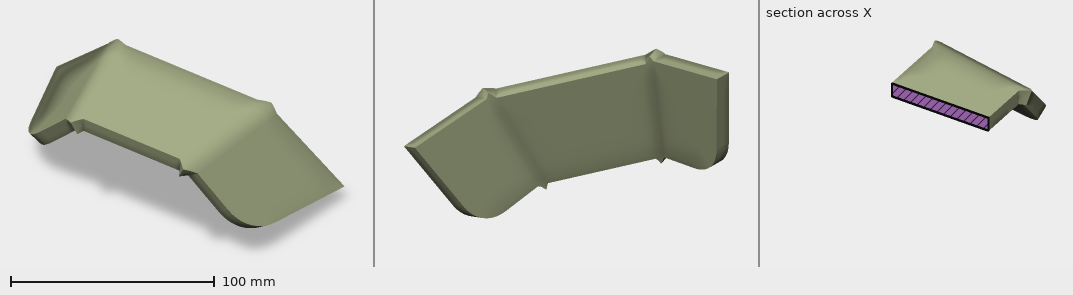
import cadquery as cq
import math

thickness = 8.0
plate_depth = 56.5
plate_front_half = 27.5
plate_rear_half = 38.0

bend_angle = 49.7
outer_radius = 13.3
inner_radius = outer_radius - thickness
sections_per_half = 5
radial_margin = 1.7
axial_margin = 8.3

bend_length = math.hypot(plate_depth, plate_rear_half - plate_front_half)
wing_root_front = 1.8
wing_root_rear = 60.1
bulge_front_outer = -3.7
bulge_front_inner = -2.8
bulge_rear_outer = 61.3
bulge_rear_inner = 62.1

wing_corner_reach = 41.2
wing_corner_along = 10.6
wing_tip_reach = 50.3
wing_tip_along = 74.0
wing_corner_radius = 25.0

skew = math.atan2(plate_rear_half - plate_front_half, plate_depth)
bend_frame = cq.Plane(
    origin=(plate_front_half, 0, 0),
    xDir=(math.cos(skew), -math.sin(skew), 0),
    normal=(0, 0, 1),
)


def bend_point(radius, angle, along):
    """Point on the bend at a radius and angle (degrees from vertical) about its axis."""
    turn = math.radians(angle)
    across = radius * math.sin(turn)
    height = radius * math.cos(turn) - outer_radius
    return bend_frame.toWorldCoords((across, along, height))


def radial_section(angle, front_outer, rear_outer, front_inner, rear_inner):
    """Four-sided section of the bend blank in a plane through its axis."""
    outer = outer_radius + radial_margin
    inner = inner_radius - radial_margin
    corners = [
        bend_point(outer, angle, front_outer),
        bend_point(outer, angle, rear_outer),
        bend_point(inner, angle, rear_inner),
        bend_point(inner, angle, front_inner),
    ]
    return cq.Wire.makePolygon(corners, close=True)


def half_bend(start_angle, end_angle, start_ends, end_ends):
    """Half of the bend blank, its end positions changing evenly with the angle."""
    sections = []
    for i in range(sections_per_half):
        share = i / (sections_per_half - 1)
        angle = start_angle + share * (end_angle - start_angle)
        ends = [a + share * (b - a) for a, b in zip(start_ends, end_ends)]
        sections.append(radial_section(angle, *ends))
    return cq.Workplane(cq.Solid.makeLoft(sections))


def make_plate():
    return (
        cq.Workplane("XY")
        .polyline([
            (-plate_front_half, 0),
            (plate_front_half, 0),
            (plate_rear_half, plate_depth),
            (-plate_rear_half, plate_depth),
        ])
        .close()
        .extrude(-thickness)
    )


def make_bend_tube():
    """Full tube about the bend axis, longer than the bend."""
    start = bend_frame.toWorldCoords((0, bend_length + axial_margin, -outer_radius))
    tube_frame = cq.Plane(origin=start, xDir=bend_frame.xDir, normal=-bend_frame.yDir)
    return (
        cq.Workplane(tube_frame)
        .circle(outer_radius)
        .circle(inner_radius)
        .extrude(bend_length + 2 * axial_margin)
    )


def make_bend():
    """Bend whose two ends bulge to a ridge halfway round."""
    plate_ends = (0, bend_length, 0, bend_length)
    ridge_ends = (bulge_front_outer, bulge_rear_outer, bulge_front_inner, bulge_rear_inner)
    wing_ends = (wing_root_front, wing_root_rear, wing_root_front, wing_root_rear)
    ridge_angle = bend_angle / 2
    upper = half_bend(0, ridge_angle, plate_ends, ridge_ends)
    lower = half_bend(ridge_angle, bend_angle, ridge_ends, wing_ends)
    return make_bend_tube().intersect(upper.union(lower))


def make_wing():
    """Flat wing with one rounded corner, starting where the bend ends."""
    wing_frame = cq.Plane(
        origin=bend_point(outer_radius, bend_angle, 0),
        xDir=bend_frame.xDir,
        normal=bend_frame.zDir,
    ).rotated((0, bend_angle, 0))
    wing = (
        cq.Workplane(wing_frame)
        .polyline([
            (0, wing_root_front),
            (wing_corner_reach, wing_corner_along),
            (wing_tip_reach, wing_tip_along),
            (0, wing_root_rear),
        ])
        .close()
        .extrude(-thickness)
    )
    corner = wing_frame.toWorldCoords((wing_corner_reach, wing_corner_along, -thickness / 2))
    return wing.edges(cq.NearestToPointSelector(corner.toTuple())).fillet(wing_corner_radius)


right_side = make_bend().union(make_wing())
left_side = right_side.mirror("YZ")
result = make_plate().union(right_side).union(left_side)